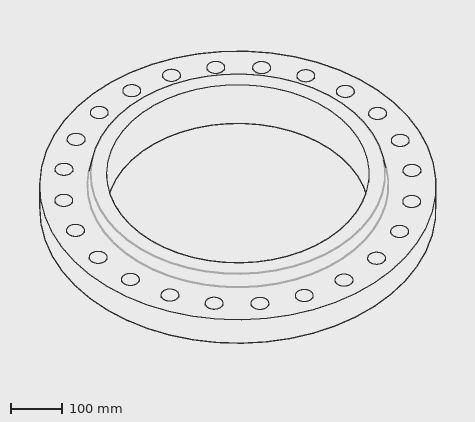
import cadquery as cq

flange_diameter = 774.5
total_height = 103.0
bore_diameter = 513.0

face_diameter = 637.0
face_height = 9.0

flange_thickness = 63.0
hub_base_diameter = 587.0
hub_top_diameter = 576.0
hub_edge_radius = 1.5
hub_root_radius = 1.5

bolt_count = 24
bolt_circle_diameter = 685.5
bolt_hole_diameter = 35.0

flange_top = face_height + flange_thickness
hub_height = total_height - flange_top


def make_disc(diameter, bottom, height):
    """Solid cylinder on the Z axis."""
    return cq.Workplane("XY").workplane(offset=bottom).circle(diameter / 2).extrude(height)


def make_hub():
    """Cone that narrows from the flange up to a rounded top edge."""
    hub = (
        cq.Workplane("XY")
        .workplane(offset=flange_top)
        .circle(hub_base_diameter / 2)
        .workplane(offset=hub_height)
        .circle(hub_top_diameter / 2)
        .loft(combine=True)
    )
    return hub.faces(">Z").edges().fillet(hub_edge_radius)


def make_body():
    """Raised face, flange and hub, with a fillet where the hub meets the flange."""
    flange = make_disc(flange_diameter, face_height, flange_thickness)
    flange_and_hub = flange.union(make_hub())
    second_largest_radius = cq.selectors.RadiusNthSelector(-2)
    flange_and_hub = flange_and_hub.edges(second_largest_radius).fillet(hub_root_radius)
    return flange_and_hub.union(make_disc(face_diameter, 0, face_height))


def make_bolt_holes():
    """Ring of cutters that pass through the flange."""
    return (
        cq.Workplane("XY")
        .polarArray(bolt_circle_diameter / 2, 0, 360, bolt_count)
        .circle(bolt_hole_diameter / 2)
        .extrude(flange_top)
    )


bore = make_disc(bore_diameter, 0, total_height)
result = make_body().cut(bore).cut(make_bolt_holes())